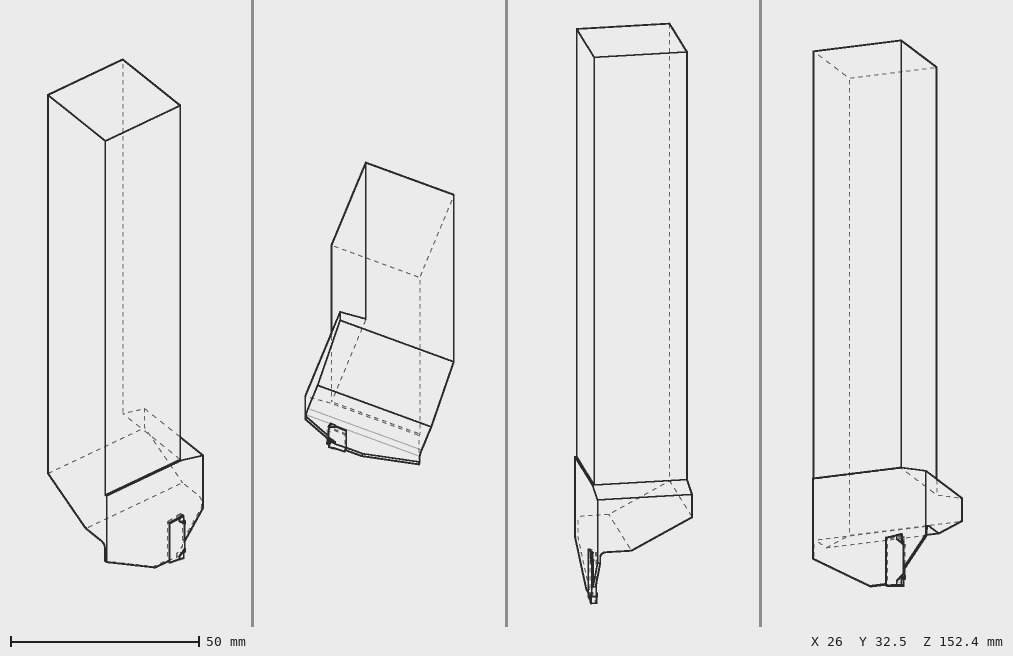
import cadquery as cq

TOP_Z = 152.4
SHANK_SIDE = 25.1

HEAD_DEPTH = 32.5
HEAD_RIGHT_X = 25.6
HEAD_STEP_Z = 32.9
HEAD_SHOULDER_Z = 31.1
HEAD_NOSE_Z = 13.4
BEVEL_TOP_Z = 24.7
BEVEL_END_X = 16.5
HEAD_BOTTOM_Z = 16.3

BLADE_LEFT_X = 24.8
BLADE_BOTTOM_Z = 0.9
BLADE_HEEL_Z = 10.5
BLADE_FLAT_Y = 16.3
BLADE_NOSE_Y = 23.2
FILLET_RADIUS = 1.4

INSERT_RIGHT_X = 26.0
INSERT_WIDTH = 1.5
WAIST_INSET = 0.2
INSERT_BACK_Y = 21.0
INSERT_FRONT_Y = 26.0
INSERT_HEIGHT = 14.2
TIP_SETBACK = 0.5
END_RELIEF = 0.5
RAKE_LENGTH = 2.0
TIP_LENGTH = 2.9
TIP_BACK_LENGTH = 1.2
TIP_DEPTH = 1.8
INSERT_LEFT_X = INSERT_RIGHT_X - INSERT_WIDTH
INSERT_MID_Z = INSERT_HEIGHT / 2


def extrude_along_x(points, start_x, end_x):
    """Extrude a closed (Y, Z) outline between two X positions."""
    outline = cq.Workplane("YZ").workplane(offset=start_x).polyline(points).close()
    return outline.extrude(end_x - start_x)


def make_insert():
    """Flat bar whose two ends carry a wider cutting tip."""
    tip_y = INSERT_FRONT_Y - TIP_SETBACK
    tip_back_y = INSERT_FRONT_Y - TIP_DEPTH
    tip_back_z = END_RELIEF * (tip_y - tip_back_y) / (tip_y - INSERT_BACK_Y)
    bar_outline = [
        (INSERT_BACK_Y, END_RELIEF),
        (tip_y, 0),
        (tip_y, RAKE_LENGTH),
        (INSERT_FRONT_Y, RAKE_LENGTH),
        (INSERT_FRONT_Y, INSERT_HEIGHT - RAKE_LENGTH),
        (tip_y, INSERT_HEIGHT - RAKE_LENGTH),
        (tip_y, INSERT_HEIGHT),
        (INSERT_BACK_Y, INSERT_HEIGHT - END_RELIEF),
    ]
    tip_outline = [
        (tip_back_y, tip_back_z),
        (tip_y, 0),
        (tip_y, RAKE_LENGTH),
        (INSERT_FRONT_Y, RAKE_LENGTH),
        (INSERT_FRONT_Y, TIP_LENGTH),
        (tip_back_y, TIP_BACK_LENGTH),
    ]
    bar = extrude_along_x(bar_outline, INSERT_LEFT_X + WAIST_INSET, INSERT_RIGHT_X - WAIST_INSET)
    lower_tip = extrude_along_x(tip_outline, INSERT_LEFT_X, INSERT_RIGHT_X)
    upper_tip = lower_tip.mirror("XY", (0, 0, INSERT_MID_Z))
    return bar.union(lower_tip).union(upper_tip)


def make_holder(insert):
    """Square shank with an offset head and blade, pocketed for the insert."""
    shank = cq.Workplane("XY").box(SHANK_SIDE, SHANK_SIDE, TOP_Z - HEAD_STEP_Z, centered=False)
    shank = shank.translate((0, 0, HEAD_STEP_Z))

    head_side = extrude_along_x(
        [
            (0, HEAD_STEP_Z),
            (SHANK_SIDE, HEAD_STEP_Z),
            (HEAD_DEPTH, HEAD_SHOULDER_Z),
            (HEAD_DEPTH, HEAD_NOSE_Z),
            (BLADE_NOSE_Y, BLADE_BOTTOM_Z),
            (BLADE_FLAT_Y, BLADE_BOTTOM_Z),
            (0, BLADE_HEEL_Z),
        ],
        0,
        HEAD_RIGHT_X,
    )
    head_front = (
        cq.Workplane("XZ")
        .moveTo(0, HEAD_STEP_Z)
        .lineTo(0, BEVEL_TOP_Z)
        .lineTo(BEVEL_END_X, HEAD_BOTTOM_Z)
        .lineTo(BLADE_LEFT_X - FILLET_RADIUS, HEAD_BOTTOM_Z)
        .radiusArc((BLADE_LEFT_X, HEAD_BOTTOM_Z - FILLET_RADIUS), FILLET_RADIUS)
        .lineTo(BLADE_LEFT_X, 0)
        .lineTo(HEAD_RIGHT_X, 0)
        .lineTo(HEAD_RIGHT_X, HEAD_STEP_Z)
        .close()
        .extrude(-HEAD_DEPTH)
    )
    return shank.union(head_side.intersect(head_front)).cut(insert)


insert = make_insert()
holder = make_holder(insert)
result = cq.Compound.makeCompound([holder.val(), insert.val()])